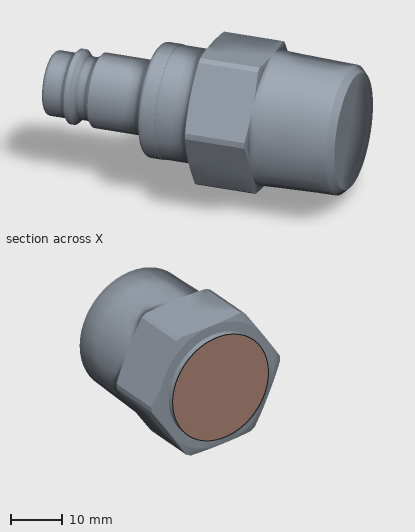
import cadquery as cq

overall_length = 62.5
ring_start = 4.25
ring_crest_start = 5.1
ring_crest_end = 6.05
groove_start = 7.2
groove_end = 9.0
stem_start = 10.05
flange_start = 21.55
flange_end = 25.25
hex_start = 32.45
hex_end = 45.45

nose_diameter = 13.0
groove_diameter = 12.6
stem_diameter = 15.0
flange_diameter = 23.0
collar_diameter = 22.75

across_flats = 26.95
corner_diameter = 30.45
hex_rotation = 25.0
hex_chamfer_length = 0.4

taper = 1 / 16
end_chamfer = 1.3

nose_fillet = 0.95
flange_fillet = 1.0


def revolve_about_x(profile):
    """Turn a closed (x, radius) profile about the X axis."""
    return profile.close().revolve(360, (0, 0, 0), (1, 0, 0))


def round_edge_at(body, x, radius, fillet):
    """Round the circular edge of the given radius at position x."""
    tolerance = 0.03
    picker = cq.selectors.BoxSelector(
        (x - tolerance, -radius - tolerance, -radius - tolerance),
        (x + tolerance, radius + tolerance, radius + tolerance),
        boundingbox=True,
    )
    edges = body.edges(picker).edges(cq.selectors.RadiusNthSelector(-1))
    return edges.fillet(fillet)


def make_plug():
    """Nose, sealing ring, groove, stem, flange and collar."""
    nose_radius = nose_diameter / 2
    groove_radius = groove_diameter / 2
    stem_radius = stem_diameter / 2
    flange_radius = flange_diameter / 2
    collar_radius = collar_diameter / 2
    profile = (
        cq.Workplane("XY")
        .polyline([
            (0, 0),
            (0, nose_radius),
            (ring_start, nose_radius),
            (ring_crest_start, stem_radius),
            (ring_crest_end, stem_radius),
            (groove_start, groove_radius),
            (groove_end, groove_radius),
            (stem_start, stem_radius),
            (flange_start, stem_radius),
            (flange_start, flange_radius),
            (flange_end, flange_radius),
            (flange_end, collar_radius),
            (hex_start, collar_radius),
            (hex_start, 0),
        ])
    )
    plug = revolve_about_x(profile)
    plug = round_edge_at(plug, 0, nose_radius, nose_fillet)
    plug = round_edge_at(plug, flange_start, stem_radius, flange_fillet)
    return round_edge_at(plug, flange_start, flange_radius, flange_fillet)


def make_hexagon():
    """Hexagon with trimmed corners and conical chamfers on both ends."""
    prism = (
        cq.Workplane("YZ", origin=(hex_start, 0, 0))
        .polygon(6, across_flats, circumscribed=True)
        .extrude(hex_end - hex_start)
        .rotate((0, 0, 0), (1, 0, 0), hex_rotation)
    )
    flat_radius = across_flats / 2
    corner_radius = corner_diameter / 2
    envelope = revolve_about_x(
        cq.Workplane("XY").polyline([
            (hex_start, 0),
            (hex_start, flat_radius),
            (hex_start + hex_chamfer_length, corner_radius),
            (hex_end - hex_chamfer_length, corner_radius),
            (hex_end, flat_radius),
            (hex_end, 0),
        ])
    )
    return prism.intersect(envelope)


def make_tapered_end():
    """Tapered pipe end, starting at the hexagon flats and chamfered at its tip."""
    base_radius = across_flats / 2
    chamfer_start = overall_length - end_chamfer
    tip_radius = base_radius - taper / 2 * (chamfer_start - hex_end)
    return revolve_about_x(
        cq.Workplane("XY").polyline([
            (hex_end, 0),
            (hex_end, base_radius),
            (chamfer_start, tip_radius),
            (overall_length, tip_radius - end_chamfer),
            (overall_length, 0),
        ])
    )


result = make_plug().union(make_hexagon()).union(make_tapered_end())